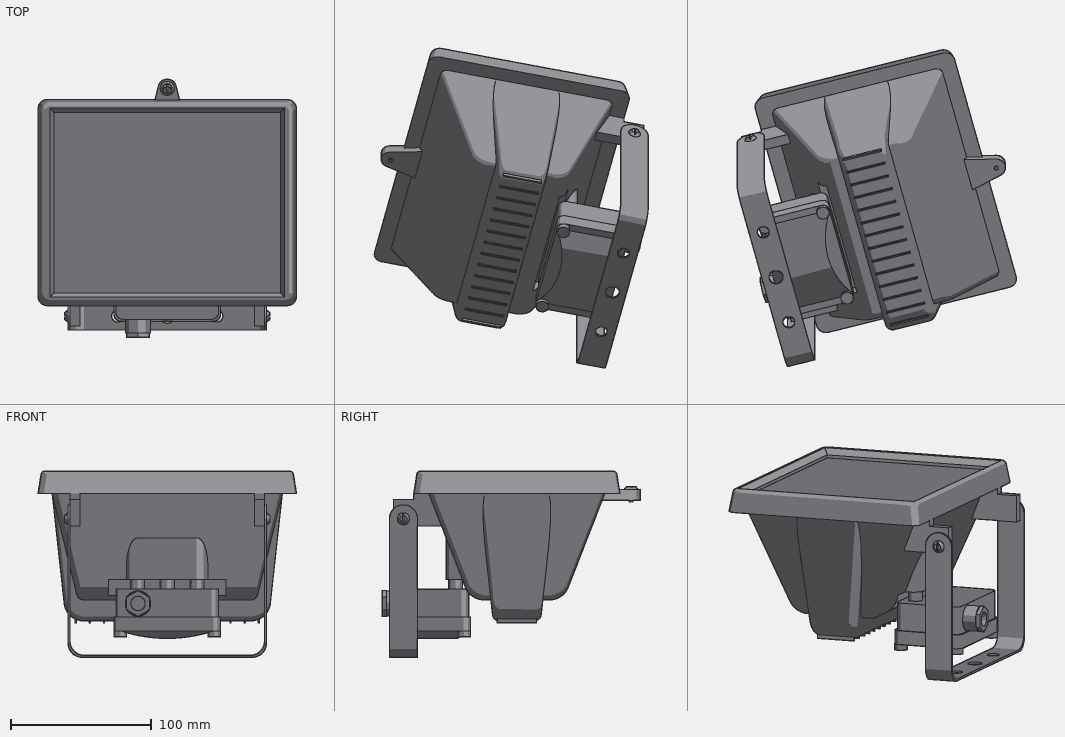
import cadquery as cq
import math


TOTAL_HEIGHT = 132.5

FRAME_X = 184.0
FRAME_Y = 146.8
FRAME_HEIGHT = 16.0
FRAME_DRAFT = 9.0
FRAME_CORNER_RADIUS = 7.0
FRAME_TOP_FILLET = 3.0
GLASS_X = 161.0
GLASS_Y = 128.5
RIM_SLOPE_RUN = 3.0
RIM_SLOPE_DROP = 4.5
GLASS_RECESS = 2.2

HOPPER_X = 163.8
HOPPER_EDGE_FILLET = 5.0
SHALLOW_Y = 125.2
SHALLOW_DEPTH = 75.7
SHALLOW_SIDE_SLOPE = 0.244
SHALLOW_FRONT_SLOPE = 0.39
SHALLOW_BOTTOM_RADIUS = 14.3
DEEP_Y = 53.4
DEEP_DEPTH = 90.6
DEEP_SIDE_SLOPE = 0.109
DEEP_FRONT_SLOPE = 0.108
DEEP_BOTTOM_RADIUS = 14.0

RIB_COUNT = 14
RIB_PITCH = 10.0
RIB_THICKNESS = 1.0
RIB_LENGTH = 28.0
RIB_TIP_Z = -92.0
RIB_ROOT_Z = -85.0

NECK_X = 58.0
NECK_FRONT_Y = -50.3
NECK_TOP_Z = -20.0
NECK_BOTTOM_Z = -61.0
NECK_CORNER_RADIUS = 8.0
RECESS_X = 83.6
RECESS_Y = -32.3
POST_RADIUS = 5.0
POST_SPACING = 21.1
POST_INSET = 1.8
POST_Y = NECK_FRONT_Y + POST_INSET + POST_RADIUS

BOX_X = 73.0
BOX_Y = 48.8
BOX_CENTRE_Y = -58.6
BOX_TOP_Z = -68.0
BOX_CORNER_RADIUS = 5.0
COVER_LIP = 1.4
COVER_TOP_Z = -87.8
COVER_BOTTOM_Z = -97.8
DOME_CREST_Y = 32.5
DOME_SAG = 5.3
FOOT_RADIUS = 4.5
FOOT_BOTTOM_Z = -102.0

GLAND_X = -20.8
GLAND_Z = -78.2
GLAND_RADIUS = 9.0
GLAND_SHOULDER_Y = -92.8
GLAND_END_Y = -95.8
GLAND_FLATS = 16.1
HEX_SIDES = 6
HEX_HALF_ANGLE = 180.0 / HEX_SIDES
GLAND_BORE_RADIUS = 5.1
GLAND_BORE_DEPTH = 8.0

BRACKET_X = 141.2
BRACKET_SHEET = 1.5
BRACKET_WIDTH = 20.0
BRACKET_Y = -80.7
BRACKET_BOTTOM_Z = FRAME_HEIGHT - TOTAL_HEIGHT
BRACKET_BEND_RADIUS = 10.0
PIVOT_Z = -18.0
PIVOT_RADIUS = 2.5
MOUNT_HOLE_RADIUS = 5.0
SIDE_HOLE_RADIUS = 4.2
SIDE_HOLE_SPACING = 35.3

EAR_THICKNESS = 7.0
EAR_OUTER_X = BRACKET_X / 2 - BRACKET_SHEET
EAR_BOTTOM_Z = -23.2
EAR_TIP_Y = -87.8
EAR_STEP_Z = -4.2
EAR_BACK_Y = -45.0

PIVOT_HEAD_RADIUS = 4.3
PIVOT_HEAD_TIP_RADIUS = 2.5
PIVOT_HEAD_HEIGHT = 2.4
PIVOT_SLOT_WIDTH = 1.0
PIVOT_SLOT_DEPTH = 1.2

TAB_Y = 81.3
TAB_RADIUS = 6.55
TAB_SIDE_ANGLE = math.radians(14.0)
TAB_INNER_Y = 55.0
TAB_TOP_Z = 3.0
TAB_BOTTOM_Z = -4.9
LATCH_HEAD_RADIUS = 5.0
LATCH_HEAD_TIP_RADIUS = 3.3
LATCH_HEAD_HEIGHT = 1.9
LATCH_SLOT_WIDTH = 1.0
LATCH_SLOT_LENGTH = 5.4
LATCH_SLOT_DEPTH = 1.2
LATCH_PIN_RADIUS = 1.4
LATCH_PIN_DROP = 1.3

ROUND_END_GAP = 0.001
OVERLAP = 1.0


def block(x_range, y_range, z_range):
    """Axis-aligned box given by its limits."""
    sizes = [high - low for low, high in (x_range, y_range, z_range)]
    corner = (x_range[0], y_range[0], z_range[0])
    return cq.Workplane("XY").box(*sizes, centered=False).translate(corner)


def cylinder(radius, z_bottom, z_top, x, y):
    """Vertical cylinder."""
    return cq.Workplane("XY", origin=(x, y, z_bottom)).circle(radius).extrude(z_top - z_bottom)


def screw_head(radius, tip_radius, height):
    """Truncated cone on Z = 0 that narrows upwards."""
    return cq.Workplane("XY").circle(radius).workplane(offset=height).circle(tip_radius).loft()


def make_frame():
    """Drafted rim with a funnel-shaped opening down to the glass."""
    frame = (
        cq.Workplane("XY")
        .rect(FRAME_X, FRAME_Y)
        .extrude(FRAME_HEIGHT, taper=FRAME_DRAFT)
        .edges("not(|X or |Y)")
        .fillet(FRAME_CORNER_RADIUS)
        .faces(">Z")
        .edges()
        .fillet(FRAME_TOP_FILLET)
    )
    funnel = (
        cq.Workplane("XY", origin=(0, 0, FRAME_HEIGHT))
        .rect(GLASS_X + 2 * RIM_SLOPE_RUN, GLASS_Y + 2 * RIM_SLOPE_RUN)
        .workplane(offset=-RIM_SLOPE_DROP)
        .rect(GLASS_X, GLASS_Y)
        .loft()
    )
    glass_z = FRAME_HEIGHT - RIM_SLOPE_DROP - GLASS_RECESS
    pocket = block(
        (-GLASS_X / 2, GLASS_X / 2),
        (-GLASS_Y / 2, GLASS_Y / 2),
        (glass_z, FRAME_HEIGHT - RIM_SLOPE_DROP),
    )
    return frame.cut(funnel).cut(pocket)


def trapezoid(plane, top_width, slope, depth, length):
    """Symmetric prism below Z = 0 whose two sides lean inwards."""
    half_top = top_width / 2
    half_bottom = half_top - slope * depth
    outline = [(-half_top, 0), (half_top, 0), (half_bottom, -depth), (-half_bottom, -depth)]
    return cq.Workplane(plane).polyline(outline).close().extrude(length / 2, both=True)


def make_hopper(arched, bounds, arch_axis, bottom_radius):
    """Prism with two big bottom rounds, bounded by leaning ends whose edges are rounded."""
    rounded = arched.faces("<Z").edges("|" + arch_axis).fillet(bottom_radius)
    hopper = rounded.intersect(bounds)
    end_faces = hopper.faces("<" + arch_axis + " or >" + arch_axis)
    end_edges = end_faces.edges("not >Z")
    return end_edges.fillet(HOPPER_EDGE_FILLET)


def make_housing():
    """Both hoppers with the recess for the terminal box."""
    shallow = make_hopper(
        trapezoid("YZ", SHALLOW_Y, SHALLOW_FRONT_SLOPE, SHALLOW_DEPTH, HOPPER_X),
        trapezoid("XZ", HOPPER_X, SHALLOW_SIDE_SLOPE, SHALLOW_DEPTH, FRAME_Y),
        "X",
        SHALLOW_BOTTOM_RADIUS,
    )
    deep = make_hopper(
        trapezoid("XZ", HOPPER_X, DEEP_SIDE_SLOPE, DEEP_DEPTH, FRAME_Y),
        trapezoid("YZ", DEEP_Y, DEEP_FRONT_SLOPE, DEEP_DEPTH, FRAME_X),
        "Y",
        DEEP_BOTTOM_RADIUS,
    )
    recess = block(
        (-RECESS_X / 2, RECESS_X / 2),
        (-SHALLOW_Y / 2, RECESS_Y),
        (-SHALLOW_DEPTH, NECK_BOTTOM_Z),
    )
    return shallow.cut(recess).union(deep)


def make_ribs():
    """Row of thin cooling ribs across the underside."""
    ribs = cq.Workplane("XY")
    for index in range(RIB_COUNT):
        x = (index - (RIB_COUNT - 1) / 2) * RIB_PITCH
        ribs = ribs.union(
            block(
                (x - RIB_THICKNESS / 2, x + RIB_THICKNESS / 2),
                (-RIB_LENGTH / 2, RIB_LENGTH / 2),
                (RIB_TIP_Z, RIB_ROOT_Z),
            )
        )
    return ribs


def make_neck():
    """Cable neck on the sloping front wall and the three posts below it."""
    neck = block(
        (-NECK_X / 2, NECK_X / 2),
        (NECK_FRONT_Y, RECESS_Y + OVERLAP),
        (NECK_BOTTOM_Z, NECK_TOP_Z),
    )
    neck = neck.edges("|Z and <Y").fillet(NECK_CORNER_RADIUS)
    for x in (-POST_SPACING, 0, POST_SPACING):
        neck = neck.union(
            cylinder(POST_RADIUS, BOX_TOP_Z - OVERLAP, NECK_BOTTOM_Z + OVERLAP, x, POST_Y)
        )
    return neck


def rounded_block(size_x, size_y, z_bottom, z_top):
    """Box layer with rounded vertical edges, centred on the terminal box."""
    return (
        cq.Workplane("XY", origin=(0, BOX_CENTRE_Y, z_bottom))
        .rect(size_x, size_y)
        .extrude(z_top - z_bottom)
        .edges("|Z")
        .fillet(BOX_CORNER_RADIUS)
    )


def make_terminal_box():
    """Box, its wider cover with a bulged underside, and four feet."""
    cover_x = BOX_X + 2 * COVER_LIP
    cover_y = BOX_Y + 2 * COVER_LIP
    box = rounded_block(BOX_X, BOX_Y, COVER_TOP_Z, BOX_TOP_Z)
    box = box.union(rounded_block(cover_x, cover_y, COVER_BOTTOM_Z, COVER_TOP_Z))
    dome_half_x = cover_x / 2 - BOX_CORNER_RADIUS
    dome = (
        cq.Workplane("XZ", origin=(0, BOX_CENTRE_Y, COVER_BOTTOM_Z))
        .moveTo(-dome_half_x, 0)
        .threePointArc((0, -DOME_SAG), (dome_half_x, 0))
        .close()
        .extrude(cover_y / 2, both=True)
    )
    dome_ends = (
        cq.Workplane("YZ", origin=(0, BOX_CENTRE_Y, COVER_BOTTOM_Z))
        .moveTo(-cover_y / 2, 0)
        .lineTo(cover_y / 2, 0)
        .lineTo(DOME_CREST_Y / 2, -DOME_SAG)
        .lineTo(-DOME_CREST_Y / 2, -DOME_SAG)
        .close()
        .extrude(cover_x / 2, both=True)
    )
    box = box.union(dome.intersect(dome_ends))
    foot_x = cover_x / 2 - FOOT_RADIUS
    foot_y = cover_y / 2 - FOOT_RADIUS
    for side_x in (-1, 1):
        for side_y in (-1, 1):
            foot = cylinder(
                FOOT_RADIUS,
                FOOT_BOTTOM_Z,
                COVER_BOTTOM_Z,
                side_x * foot_x,
                BOX_CENTRE_Y + side_y * foot_y,
            )
            box = box.union(foot)
    return box


def make_gland():
    """Cable gland on the front of the box: round body, hexagonal end and bore."""
    box_front_y = BOX_CENTRE_Y - BOX_Y / 2
    body = (
        cq.Workplane("XZ", origin=(GLAND_X, box_front_y + OVERLAP, GLAND_Z))
        .circle(GLAND_RADIUS)
        .extrude(box_front_y + OVERLAP - GLAND_SHOULDER_Y)
    )
    across_corners = GLAND_FLATS / math.cos(math.radians(HEX_HALF_ANGLE))
    nut = (
        cq.Workplane("XZ", origin=(GLAND_X, GLAND_SHOULDER_Y, GLAND_Z))
        .transformed(rotate=(0, 0, HEX_HALF_ANGLE))
        .polygon(HEX_SIDES, across_corners)
        .extrude(GLAND_SHOULDER_Y - GLAND_END_Y)
    )
    bore = (
        cq.Workplane("XZ", origin=(GLAND_X, GLAND_END_Y + GLAND_BORE_DEPTH, GLAND_Z))
        .circle(GLAND_BORE_RADIUS)
        .extrude(GLAND_BORE_DEPTH)
    )
    return body.union(nut).cut(bore)


def make_ear():
    """Arm on the +X side that reaches out from under the frame to the bracket."""
    frame_edge_y = -FRAME_Y / 2
    outline = [
        (EAR_BACK_Y, 0),
        (frame_edge_y, 0),
        (frame_edge_y, EAR_STEP_Z),
        (EAR_TIP_Y, EAR_STEP_Z),
        (EAR_TIP_Y, EAR_BOTTOM_Z),
        (EAR_BACK_Y, EAR_BOTTOM_Z),
    ]
    plane = cq.Workplane("YZ", origin=(EAR_OUTER_X - EAR_THICKNESS, 0, 0))
    return plane.polyline(outline).close().extrude(EAR_THICKNESS)


def make_pivot_screw():
    """Slotted screw on the +X side, its shank passing through the bracket."""
    head = screw_head(PIVOT_HEAD_RADIUS, PIVOT_HEAD_TIP_RADIUS, PIVOT_HEAD_HEIGHT)
    slot = block(
        (-PIVOT_HEAD_RADIUS, PIVOT_HEAD_RADIUS),
        (-PIVOT_SLOT_WIDTH / 2, PIVOT_SLOT_WIDTH / 2),
        (PIVOT_HEAD_HEIGHT - PIVOT_SLOT_DEPTH, PIVOT_HEAD_HEIGHT),
    )
    shank = cylinder(PIVOT_RADIUS, -BRACKET_SHEET - OVERLAP, 0, 0, 0)
    screw = head.cut(slot).union(shank).rotate((0, 0, 0), (0, 1, 0), 90)
    return screw.translate((BRACKET_X / 2, BRACKET_Y, PIVOT_Z))


def make_latch():
    """Tapered tab with a round end on the far side, and its cross-slotted screw."""
    tangent_x = TAB_RADIUS * math.cos(TAB_SIDE_ANGLE)
    tangent_y = TAB_Y + TAB_RADIUS * math.sin(TAB_SIDE_ANGLE)
    inner_half_width = tangent_x + (tangent_y - TAB_INNER_Y) * math.tan(TAB_SIDE_ANGLE)
    tab = (
        cq.Workplane("XY", origin=(0, 0, TAB_BOTTOM_Z))
        .moveTo(-inner_half_width, TAB_INNER_Y)
        .lineTo(inner_half_width, TAB_INNER_Y)
        .lineTo(tangent_x, tangent_y)
        .threePointArc((0, TAB_Y + TAB_RADIUS), (-tangent_x, tangent_y))
        .close()
        .extrude(TAB_TOP_Z - TAB_BOTTOM_Z)
    )
    head = screw_head(LATCH_HEAD_RADIUS, LATCH_HEAD_TIP_RADIUS, LATCH_HEAD_HEIGHT)
    cross = cq.Workplane("XY", origin=(0, 0, LATCH_HEAD_HEIGHT - LATCH_SLOT_DEPTH))
    for size in ((LATCH_SLOT_LENGTH, LATCH_SLOT_WIDTH), (LATCH_SLOT_WIDTH, LATCH_SLOT_LENGTH)):
        head = head.cut(cross.rect(*size).extrude(LATCH_SLOT_DEPTH))
    pin = cylinder(LATCH_PIN_RADIUS, TAB_BOTTOM_Z - LATCH_PIN_DROP, TAB_BOTTOM_Z, 0, TAB_Y)
    return tab.union(head.translate((0, TAB_Y, TAB_TOP_Z))).union(pin)


def make_lamp():
    """Complete lamp body with the pivot screws."""
    lamp = make_frame().union(make_housing()).union(make_ribs())
    lamp = lamp.union(make_neck()).union(make_terminal_box()).union(make_gland())
    pivot_side = make_ear().union(make_pivot_screw())
    lamp = lamp.union(pivot_side).union(pivot_side.mirror("YZ"))
    return lamp.union(make_latch())


def make_bracket():
    """U-shaped strip with round arm ends, pivot holes and mounting holes."""
    arm_top_z = PIVOT_Z + BRACKET_WIDTH / 2

    def strip_profile(half_width, bottom_z, bend_radius):
        solid = block(
            (-half_width, half_width),
            (BRACKET_Y - BRACKET_WIDTH / 2, BRACKET_Y + BRACKET_WIDTH / 2),
            (bottom_z, arm_top_z),
        )
        return solid.edges("|Y and <Z").fillet(bend_radius)

    outer = strip_profile(BRACKET_X / 2, BRACKET_BOTTOM_Z, BRACKET_BEND_RADIUS)
    inner = strip_profile(
        BRACKET_X / 2 - BRACKET_SHEET,
        BRACKET_BOTTOM_Z + BRACKET_SHEET,
        BRACKET_BEND_RADIUS,
    )
    bracket = outer.cut(inner)
    bracket = bracket.edges("|X and >Z").fillet(BRACKET_WIDTH / 2 - ROUND_END_GAP)
    pivot = cq.Workplane("YZ", origin=(0, BRACKET_Y, PIVOT_Z)).circle(PIVOT_RADIUS)
    bracket = bracket.cut(pivot.extrude(BRACKET_X, both=True))
    holes = (
        (0, MOUNT_HOLE_RADIUS),
        (-SIDE_HOLE_SPACING, SIDE_HOLE_RADIUS),
        (SIDE_HOLE_SPACING, SIDE_HOLE_RADIUS),
    )
    for x, radius in holes:
        hole = cylinder(radius, BRACKET_BOTTOM_Z, BRACKET_BOTTOM_Z + BRACKET_SHEET, x, BRACKET_Y)
        bracket = bracket.cut(hole)
    return bracket


lamp = make_lamp()
bracket = make_bracket()
result = cq.Compound.makeCompound([lamp.solids().val(), bracket.solids().val()])